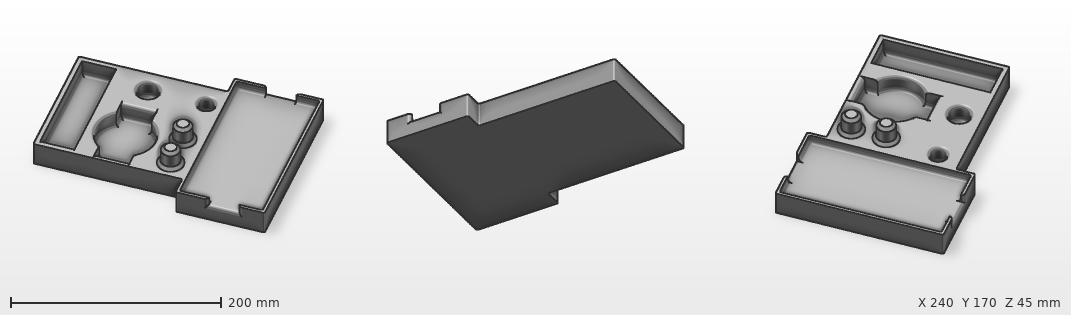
import cadquery as cq

length = 240.0
total_height = 45.0
pin_height = 20.0
body_height = total_height - pin_height
narrow_width = 131.0
wide_width = 170.0
step_x = 150.2
corner_radius = 2.0
edge_radius = 4.0

tray_floor_z = 17.0
tray_wall = 3.0
notch_start_x = 183.0
notch_width = 30.2
notch_reach = 9.5

bin_start_x = 5.0
bin_length = 34.5
bin_width = 120.5
bin_floor_z = 8.2

recess_x = 77.8
recess_y = -22.0
recess_diameter = 60.0
recess_floor_z = 8.2
slot_width = 35.5
slot_length = 75.0

socket_y = 42.5
sockets = [(recess_x, 22.3), (136.5, 16.8)]
socket_floor_z = 8.2

pin_x = 132.0
pin_y_positions = [-11.8, -47.0]
pin_foot_diameter = 19.7
pin_top_diameter = 18.7
pin_bevel = 3.4


def block(x_start, x_size, y_centre, y_size, z_bottom, z_top):
    """Box that starts at x_start and is centred on y_centre."""
    return (
        cq.Workplane("XY", origin=(x_start, y_centre, z_bottom))
        .box(x_size, y_size, z_top - z_bottom, centered=(False, True, False))
    )


def plate():
    """T-shaped plate with all upright edges rounded."""
    narrow = block(0, length, 0, narrow_width, 0, body_height)
    wide = block(step_x, length - step_x, 0, wide_width, 0, body_height)
    return narrow.union(wide).edges("|Z").fillet(corner_radius)


def cut_notches(body):
    """Cut a notch in each side and round its edges out to the side face."""
    margin = edge_radius / 2
    for side in (-1, 1):
        face_y = side * wide_width / 2
        gap = block(notch_start_x, notch_width, face_y, 2 * notch_reach, tray_floor_z, body_height)
        body = body.cut(gap)
        rim = cq.selectors.BoxSelector(
            (notch_start_x - margin, face_y - margin, tray_floor_z - margin),
            (notch_start_x + notch_width + margin, face_y + margin, body_height - margin),
        )
        body = body.edges(rim).fillet(edge_radius)
    return body


def tray():
    """Cutter for the tray, with rounded corners and a rounded floor edge."""
    start_x = step_x + tray_wall
    size_x = length - tray_wall - start_x
    size_y = wide_width - 2 * tray_wall
    cutter = block(start_x, size_x, 0, size_y, tray_floor_z, body_height + edge_radius)
    return cutter.edges("|Z").fillet(corner_radius).faces("<Z").edges().fillet(edge_radius)


def storage_bin():
    """Cutter for the long pocket, with square corners and a rounded floor edge."""
    cutter = block(bin_start_x, bin_length, 0, bin_width, bin_floor_z, body_height)
    return cutter.faces("<Z").edges().fillet(edge_radius)


def round_pocket(x, y, diameter, floor_z):
    """Cutter for a round pocket with a rounded floor edge and a flared mouth."""
    radius = diameter / 2
    arc_offset = edge_radius * 0.5**0.5
    floor_arc_z = floor_z + edge_radius
    mouth_arc_z = body_height - edge_radius
    return (
        cq.Workplane("XZ", origin=(x, y, 0))
        .moveTo(0, floor_z)
        .lineTo(radius - edge_radius, floor_z)
        .threePointArc(
            (radius - edge_radius + arc_offset, floor_arc_z - arc_offset),
            (radius, floor_arc_z),
        )
        .lineTo(radius, mouth_arc_z)
        .threePointArc(
            (radius + edge_radius - arc_offset, mouth_arc_z + arc_offset),
            (radius + edge_radius, body_height),
        )
        .lineTo(0, body_height)
        .close()
        .revolve(360, (0, 0, 0), (0, 1, 0))
    )


def finger_slot():
    """Cutter for the slot: rounded floor edge, mouth flared at the two ends only."""
    start_x = recess_x - slot_width / 2
    cutter = block(start_x, slot_width, recess_y, slot_length, recess_floor_z, body_height)
    cutter = cutter.faces("<Z").edges().fillet(edge_radius)
    mouth_z = body_height - edge_radius
    flare = block(start_x, slot_width, recess_y, slot_length + 2 * edge_radius, mouth_z, body_height)
    for side in (-1, 1):
        lip = (
            cq.Workplane("YZ", origin=(start_x, recess_y, 0))
            .center(side * (slot_length / 2 + edge_radius), mouth_z)
            .circle(edge_radius)
            .extrude(slot_width)
        )
        flare = flare.cut(lip)
    return cutter.union(flare)


def pin(y):
    """Tapered pin with a bevelled top and a conical foot."""
    foot_radius = pin_foot_diameter / 2
    top_radius = pin_top_diameter / 2
    top_z = body_height + pin_height
    return (
        cq.Workplane("XZ", origin=(pin_x, y, 0))
        .moveTo(0, body_height - pin_bevel)
        .lineTo(foot_radius + pin_bevel, body_height - pin_bevel)
        .lineTo(foot_radius + pin_bevel, body_height)
        .lineTo(foot_radius, body_height + pin_bevel)
        .lineTo(top_radius, top_z - pin_bevel)
        .lineTo(top_radius - pin_bevel, top_z)
        .lineTo(0, top_z)
        .close()
        .revolve(360, (0, 0, 0), (0, 1, 0))
    )


result = cut_notches(plate())
for pin_y in pin_y_positions:
    result = result.union(pin(pin_y))
result = result.cut(tray()).cut(storage_bin())
recess = round_pocket(recess_x, recess_y, recess_diameter, recess_floor_z)
result = result.cut(recess.union(finger_slot()))
for socket_x, socket_diameter in sockets:
    result = result.cut(round_pocket(socket_x, socket_y, socket_diameter, socket_floor_z))